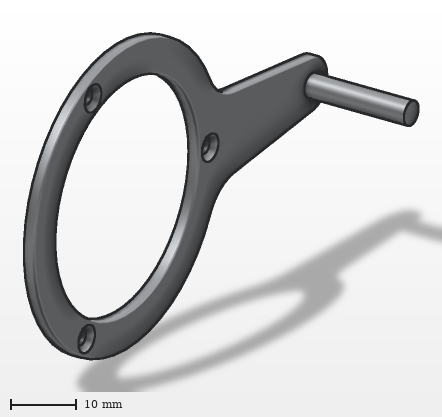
import cadquery as cq
import math

overall_length = 79.8
overall_depth = 20.3
ring_diameter = 50.7
bore_diameter = 38.7
plate_thickness = 2.0
tip_radius = 4.55
taper_angle = 6.3
neck_fillet = 8.0
rim_rounding = 0.5
pin_diameter = 4.0
hole_diameter = 2.5
countersink_diameter = 4.5
countersink_angle = 90
hole_circle_radius = 22.35
hole_angles = (0, 115, 240)

ring_radius = ring_diameter / 2
tip_center = overall_length - ring_radius - tip_radius


def plate_cylinder(diameter, y=0, length=plate_thickness):
    """Cylinder along +X, starting on the outer face of the plate."""
    return cq.Workplane("YZ").center(y, 0).circle(diameter / 2).extrude(length)


def make_handle():
    """Round-ended handle whose straight sides are tangent to the tip and widen towards the ring."""
    taper = math.radians(taper_angle)
    tangent_y = tip_center + tip_radius * math.sin(taper)
    tangent_z = tip_radius * math.cos(taper)
    root_y = bore_diameter / 2
    root_z = tangent_z + (tangent_y - root_y) * math.tan(taper)
    return (
        cq.Workplane("YZ")
        .moveTo(root_y, -root_z)
        .lineTo(tangent_y, -tangent_z)
        .threePointArc((tip_center + tip_radius, 0), (tangent_y, tangent_z))
        .lineTo(root_y, root_z)
        .close()
        .extrude(plate_thickness)
    )


def make_plate():
    """Ring and handle blended at the neck, bored, rounded on the pin side and countersunk there."""
    plate = plate_cylinder(ring_diameter).union(make_handle())
    neck_corners = cq.selectors.BoxSelector(
        (0, bore_diameter / 2, -ring_radius),
        (plate_thickness, (ring_radius + tip_center) / 2, ring_radius),
    )
    plate = plate.edges("|X").edges(neck_corners).fillet(neck_fillet)
    plate = plate.cut(plate_cylinder(bore_diameter))
    plate = plate.faces(">X").edges().fillet(rim_rounding)
    hole_points = [
        (
            hole_circle_radius * math.cos(math.radians(angle)),
            hole_circle_radius * math.sin(math.radians(angle)),
        )
        for angle in hole_angles
    ]
    return (
        plate.copyWorkplane(cq.Workplane("YZ", origin=(plate_thickness, 0, 0)))
        .pushPoints(hole_points)
        .cskHole(hole_diameter, countersink_diameter, countersink_angle)
    )


pin = plate_cylinder(pin_diameter, tip_center, length=overall_depth)
result = make_plate().union(pin)